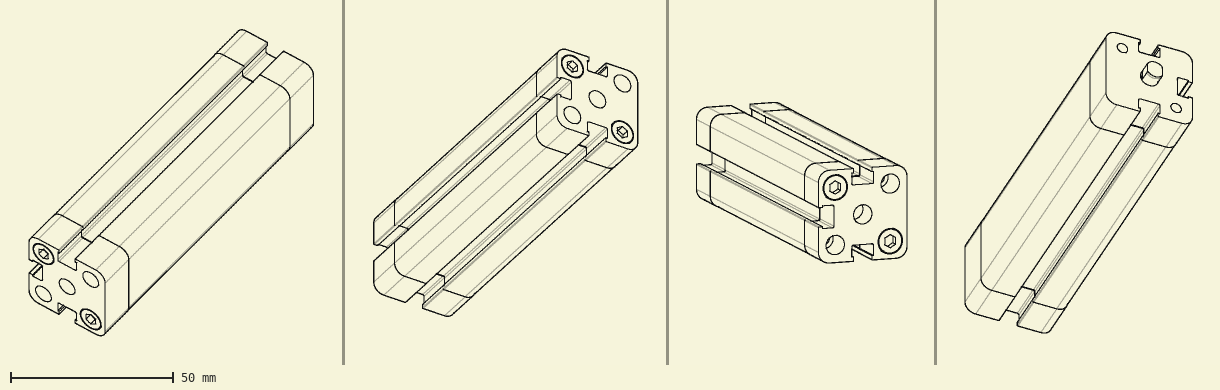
import cadquery as cq


cap_width = 29.05
barrel_width = 28.95
total_length = 112.5
rod_projection = 4.5
cap_length = 12.25
corner_radius = 3.6

slot_opening = 6.0
slot_width = 7.0
lip_thickness = 1.4
cap_slot_depth = 5.1
barrel_slot_depth = 4.775
cap_slot_clearance = 0.05
slot_corner_radius = 0.5
mouth_radius = 0.2
slot_angles = (0, 180, 270)

hole_offset = 9.0
through_diameter = 3.5
counterbore_diameter = 6.0
counterbore_depth = 10.0
screw_bore_diameter = 8.0
screw_head_diameter = 7.5
screw_head_height = 4.0
hex_corner_diameter = 4.13
hex_depth = 2.5

port_diameter = 6.0
port_depth = 8.0
rod_diameter = 6.0
rod_flat_width = 5.0
rod_flat_length = 3.9
rod_taper_length = 0.8
rod_taper_drop = 0.05

y_front = -total_length / 2
y_rod_tip = total_length / 2
y_rear = y_rod_tip - rod_projection
body_length = y_rear - y_front
barrel_length = body_length - 2 * cap_length

hole_points = [(hole_offset, hole_offset), (-hole_offset, -hole_offset)]
screw_points = [(-hole_offset, hole_offset), (hole_offset, -hole_offset)]


def end_plane(y):
    """Workplane at station y whose local axes are X and -Z, extruding toward +Y."""
    return cq.Workplane("XZ", origin=(0, y, 0)).transformed(rotate=(180, 0, 0))


def discs(y, points, diameter, length):
    """Cylinders along +Y from station y, centred on (x, z) points."""
    local_points = [(x, -z) for x, z in points]
    return end_plane(y).pushPoints(local_points).circle(diameter / 2).extrude(length)


def slot_cutter(y, length, width, chamber_width, depth):
    """T-slot cutter opening on the +Z face of a bar of the given width."""
    top = width / 2
    chamber = (
        cq.Workplane("XY", origin=(0, y, top - depth))
        .box(chamber_width, length, depth - lip_thickness, centered=(True, False, False))
        .edges("|Y and <Z")
        .fillet(slot_corner_radius)
    )
    mouth = (
        cq.Workplane("XY", origin=(0, y, top - lip_thickness))
        .box(slot_opening, length, lip_thickness, centered=(True, False, False))
    )
    return chamber.union(mouth)


def slotted_bar(y, length, width, chamber_width, slot_depth):
    """Rounded square bar with T-slots on the +Z, -Z and -X sides."""
    bar = end_plane(y).rect(width, width).extrude(length).edges("|Y").fillet(corner_radius)
    cutter = slot_cutter(y, length, width, chamber_width, slot_depth)
    mouth_edges = cq.selectors.BoxSelector(
        (-slot_opening, y, width / 2 - mouth_radius),
        (slot_opening, y + length, width / 2 + mouth_radius),
    )
    for angle in slot_angles:
        bar = bar.rotate((0, 0, 0), (0, 1, 0), -angle).cut(cutter)
        bar = bar.edges(mouth_edges).edges("|Y").fillet(mouth_radius)
        bar = bar.rotate((0, 0, 0), (0, 1, 0), angle)
    return bar


def end_cap(y):
    """Cap starting at station y, with slots slightly roomier than the barrel's."""
    chamber_width = slot_width + 2 * cap_slot_clearance
    return slotted_bar(y, cap_length, cap_width, chamber_width, cap_slot_depth)


def body():
    """Barrel between two end caps."""
    front_cap = end_cap(y_front)
    barrel = slotted_bar(y_front + cap_length, barrel_length, barrel_width, slot_width, barrel_slot_depth)
    rear_cap = end_cap(y_rear - cap_length)
    return front_cap.union(barrel).union(rear_cap)


def mounting_holes():
    """Counterbored holes running the full length of the body."""
    through = discs(y_front, hole_points, through_diameter, body_length)
    counterbores = discs(y_front, hole_points, counterbore_diameter, counterbore_depth)
    return through.union(counterbores)


def screw_recesses():
    """Clearance rings around the flush screw heads, and their hex sockets."""
    bores = discs(y_front, screw_points, screw_bore_diameter, screw_head_height)
    heads = discs(y_front, screw_points, screw_head_diameter, screw_head_height)
    recesses = bores.cut(heads)
    hex_socket = (
        end_plane(y_front)
        .transformed(rotate=(0, 0, 90))
        .polygon(6, hex_corner_diameter)
        .extrude(hex_depth)
    )
    for x, z in screw_points:
        recesses = recesses.union(hex_socket.translate((x, 0, z)))
    return recesses


def centre_port():
    """Blind round hole in the mounting face, on the cylinder axis."""
    return discs(y_front, [(0, 0)], port_diameter, port_depth)


def rod():
    """Rod end with a slightly tapered tip and two wrench flats facing -X and +X."""
    rod_radius = rod_diameter / 2
    tip_radius = rod_radius - rod_taper_drop
    shank = (
        cq.Workplane("XY")
        .polyline([
            (0, y_rear),
            (rod_radius, y_rear),
            (rod_radius, y_rod_tip - rod_taper_length),
            (tip_radius, y_rod_tip),
            (0, y_rod_tip),
        ])
        .close()
        .revolve(360, (0, 0, 0), (0, 1, 0))
    )
    flat_cutter = cq.Workplane("XY").box(rod_diameter, rod_flat_length, rod_diameter)
    flat_x = (rod_flat_width + rod_diameter) / 2
    flat_y = y_rod_tip - rod_flat_length / 2
    for side in (-1, 1):
        shank = shank.cut(flat_cutter.translate((side * flat_x, flat_y, 0)))
    return shank


result = (
    body()
    .cut(mounting_holes())
    .cut(screw_recesses())
    .cut(centre_port())
    .union(rod())
)